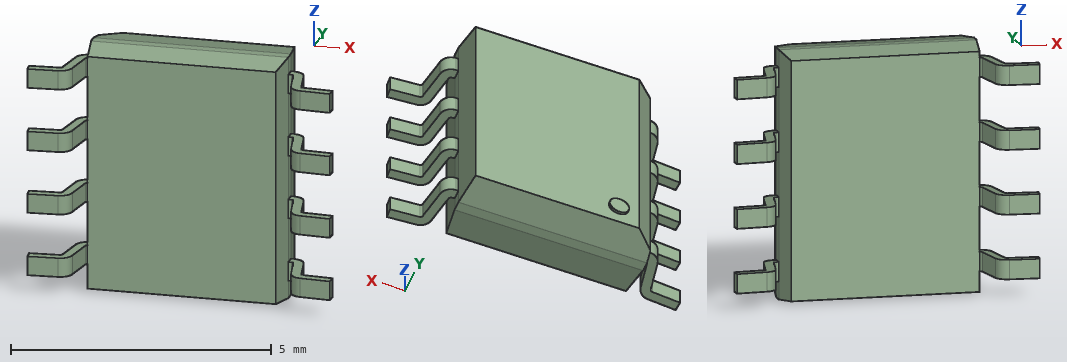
import cadquery as cq
import math

SPAN = 6.0
DEPTH = 1.8

HOUSING_WIDTH = 3.9
HOUSING_LENGTH = 4.9
HOUSING_DEPTH = 1.5
DRAFT_ANGLE = 8.0
BEVEL_SIZE = 0.42

DOT_DIAMETER = 0.4
DOT_HEIGHT = 0.05
DOT_X = -1.1

LEADS_PER_SIDE = 4
LEAD_ROW_LENGTH = 3.81
LEAD_PITCH = LEAD_ROW_LENGTH / (LEADS_PER_SIDE - 1)
LEAD_WIDTH = 0.385
LEAD_THICKNESS = 0.2
INNER_BEND_RADIUS = 0.05
OUTER_BEND_RADIUS = INNER_BEND_RADIUS + LEAD_THICKNESS
KNEE_REACH = 0.265
LEG_LEAN = 10.0
FOOT_SLOPE = 4.0

DOT_TOP_Y = DEPTH / 2
HOUSING_TOP_Y = DOT_TOP_Y - DOT_HEIGHT
HOUSING_MID_Y = HOUSING_TOP_Y - HOUSING_DEPTH / 2
BELT_TOP_Y = HOUSING_MID_Y + LEAD_THICKNESS / 2
BELT_BOTTOM_Y = HOUSING_MID_Y - LEAD_THICKNESS / 2
TOE_BOTTOM_Y = -DEPTH / 2

DRAFTED_DEPTH = (HOUSING_DEPTH - LEAD_THICKNESS) / 2
FIRST_LEAD_Z = -LEAD_ROW_LENGTH / 2


def housing_section(y):
    """Belt rectangle at level y; its normal points toward -Y."""
    return cq.Workplane("XZ", origin=(0, y, 0)).rect(HOUSING_WIDTH, HOUSING_LENGTH)


def make_bevel_cutter():
    """Prism that bevels the upper edge of the -X flank."""
    corner_x = -HOUSING_WIDTH / 2
    bevel_start_x = corner_x + BEVEL_SIZE
    return (
        cq.Workplane("XY")
        .moveTo(bevel_start_x, HOUSING_TOP_Y)
        .lineTo(corner_x, HOUSING_TOP_Y)
        .lineTo(corner_x, HOUSING_TOP_Y - BEVEL_SIZE)
        .close()
        .extrude(HOUSING_LENGTH / 2, both=True)
    )


def make_housing():
    belt = housing_section(BELT_TOP_Y).extrude(LEAD_THICKNESS)
    lower_half = housing_section(BELT_BOTTOM_Y).extrude(DRAFTED_DEPTH, taper=DRAFT_ANGLE)
    upper_half = housing_section(BELT_TOP_Y).extrude(-DRAFTED_DEPTH, taper=DRAFT_ANGLE)
    dot = (
        cq.Workplane("XZ", origin=(DOT_X, HOUSING_TOP_Y, FIRST_LEAD_Z))
        .circle(DOT_DIAMETER / 2)
        .extrude(-DOT_HEIGHT)
    )
    return belt.union(lower_half).union(upper_half).cut(make_bevel_cutter()).union(dot)


def lead_outline():
    """Sharp-cornered lead profile on the -X side, upper surface first."""
    lean = math.radians(LEG_LEAN)
    slope = math.radians(FOOT_SLOPE)
    shoulder = (-HOUSING_WIDTH / 2, BELT_TOP_Y)
    knee = (shoulder[0] - KNEE_REACH, BELT_TOP_Y)
    toe = (-SPAN / 2, TOE_BOTTOM_Y + LEAD_THICKNESS * math.cos(slope))

    run_at_toe_level = knee[0] - (knee[1] - toe[1]) * math.tan(lean) - toe[0]
    ankle_rise = run_at_toe_level * math.tan(slope) / (1 - math.tan(lean) * math.tan(slope))
    ankle = (toe[0] + ankle_rise / math.tan(slope), toe[1] + ankle_rise)

    shoulder_normal = (0, -1)
    leg_normal = (math.cos(lean), -math.sin(lean))
    foot_normal = (math.sin(slope), -math.cos(slope))

    def lower_corner(upper, normal_a, normal_b):
        """Mitred point one lead thickness below the corner of two straights."""
        alignment = normal_a[0] * normal_b[0] + normal_a[1] * normal_b[1]
        reach = LEAD_THICKNESS / (1 + alignment)
        return (
            upper[0] + reach * (normal_a[0] + normal_b[0]),
            upper[1] + reach * (normal_a[1] + normal_b[1]),
        )

    return {
        "shoulder": shoulder,
        "knee": knee,
        "ankle": ankle,
        "toe": toe,
        "lower toe": lower_corner(toe, foot_normal, foot_normal),
        "lower ankle": lower_corner(ankle, leg_normal, foot_normal),
        "lower knee": lower_corner(knee, shoulder_normal, leg_normal),
        "lower shoulder": lower_corner(shoulder, shoulder_normal, shoulder_normal),
    }


def make_left_lead(z):
    """Gull-wing lead on the -X side, centred at height z."""
    outline = lead_outline()
    lead = (
        cq.Workplane("XY", origin=(0, 0, z))
        .polyline(list(outline.values()))
        .close()
        .extrude(LEAD_WIDTH / 2, both=True)
    )
    bend_radii = {
        "knee": OUTER_BEND_RADIUS,
        "lower knee": INNER_BEND_RADIUS,
        "ankle": INNER_BEND_RADIUS,
        "lower ankle": OUTER_BEND_RADIUS,
    }
    for corner, radius in bend_radii.items():
        edge_middle = (*outline[corner], z)
        lead = lead.edges("|Z").edges(cq.selectors.NearestToPointSelector(edge_middle)).fillet(radius)
    return lead


housing = make_housing()

leads = []
for index in range(LEADS_PER_SIDE):
    left_lead = make_left_lead(FIRST_LEAD_Z + index * LEAD_PITCH)
    right_lead = left_lead.mirror("YZ")
    leads += [left_lead.val(), right_lead.val()]

result = cq.Compound.makeCompound([housing.val(), *leads])